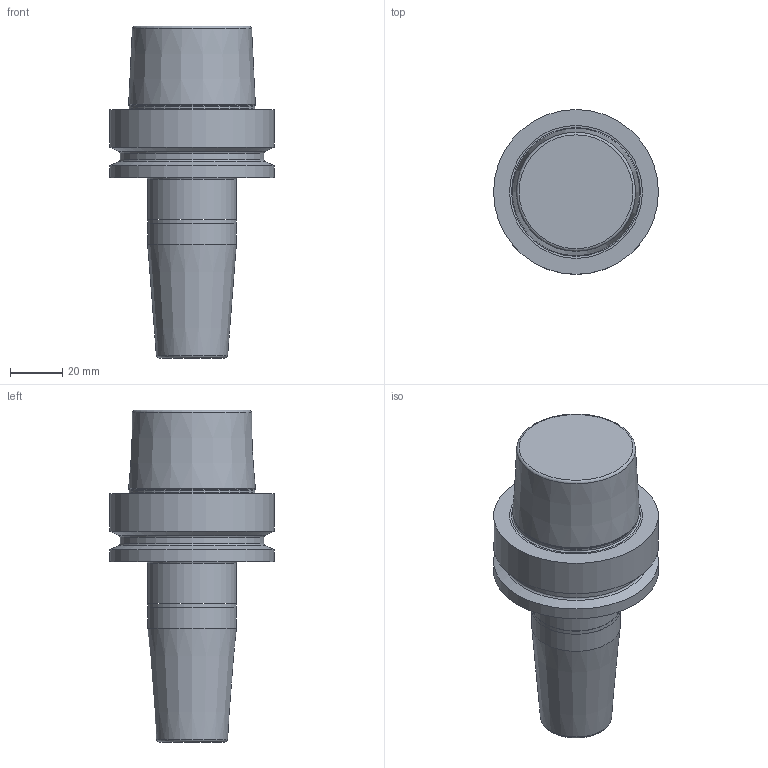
import cadquery as cq
import math


taper_height = 32.0
gauge_radius = 24.005
gauge_height = 6.3
taper_ratio = 9.98
taper_slope = 1 / (2 * taper_ratio)
taper_angle = math.atan(taper_slope)
top_round = 1.0

taper_end_height = 2.0
relief_radius = 24.0
relief_cone_drop = 0.2
relief_cone_radius = 24.1
relief_top = 1.3
relief_corner = 0.6
dish_radius = 25.4
dish_depth = 0.1

flange_radius = 31.5
flange_thickness = 26.0
groove_floor_radius = 27.5
groove_centre = -17.86
groove_half_width = 3.6
groove_wall_angle = math.radians(25)
groove_corner = 0.9

shank_radius = 17.0
shank_corner = 0.5
shank_end = -41.9
joint_gap = 0.1

nose_collar_end = -43.5
nose_step = 0.05
nose_radius = shank_radius - nose_step
nose_cone_start = -51.5
nose_bottom = -94.9
nose_angle = math.radians(4.5)
nose_round = 1.0

arc_inset = 1 - math.sqrt(0.5)


def taper_radius(height):
    return gauge_radius - (height - gauge_height) * taper_slope


def revolve_about_z(outline):
    return outline.close().revolve(360, (0, 0, 0), (0, 1, 0))


def end_round_points(end_radius, lean, corner, end_height, side):
    """Cone tangent, midpoint and flat tangent of the round where a cone leaning inwards meets a flat end.

    end_radius is the cone's radius at the end plane and lean its half angle;
    side is +1 for a top end and -1 for a bottom end.
    """
    centre_r = end_radius - corner * (1 - math.sin(lean)) / math.cos(lean)
    centre_z = end_height - side * corner

    def on_round(angle):
        return (centre_r + corner * math.cos(angle), centre_z + side * corner * math.sin(angle))

    return on_round(lean), on_round((lean + math.pi / 2) / 2), on_round(math.pi / 2)


def groove_points(side):
    """Rim, wall tangent, arc midpoint and floor tangent of one groove wall; side is +1 above, -1 below."""
    wall_drop = (flange_radius - groove_floor_radius) * math.tan(groove_wall_angle)
    corner_z = groove_half_width - wall_drop
    sweep = math.pi / 2 - groove_wall_angle
    centre_r = groove_floor_radius + groove_corner
    centre_z = corner_z - groove_corner * math.tan(sweep / 2)

    def on_corner(angle):
        r = centre_r - groove_corner * math.cos(angle)
        return (r, groove_centre + side * (centre_z + groove_corner * math.sin(angle)))

    rim = (flange_radius, groove_centre + side * groove_half_width)
    return rim, on_corner(sweep), on_corner(sweep / 2), on_corner(0)


def make_holder():
    top_side, top_mid, top_flat = end_round_points(
        taper_radius(taper_height), taper_angle, top_round, taper_height, 1
    )
    upper_rim, upper_wall, upper_mid, upper_floor = groove_points(1)
    lower_rim, lower_wall, lower_mid, lower_floor = groove_points(-1)
    relief_cone_end = taper_end_height - relief_cone_drop

    outline = (
        cq.Workplane("XZ")
        .moveTo(0, shank_end)
        .lineTo(0, taper_height)
        .lineTo(*top_flat)
        .threePointArc(top_mid, top_side)
        .lineTo(taper_radius(taper_end_height), taper_end_height)
        .lineTo(relief_cone_radius, relief_cone_end)
        .lineTo(relief_radius, relief_top)
        .lineTo(relief_radius, relief_corner - dish_depth)
        .threePointArc(
            (relief_radius + arc_inset * relief_corner, arc_inset * relief_corner - dish_depth),
            (relief_radius + relief_corner, -dish_depth),
        )
        .lineTo(dish_radius, 0)
        .lineTo(flange_radius, 0)
        .lineTo(*upper_rim)
        .lineTo(*upper_wall)
        .threePointArc(upper_mid, upper_floor)
        .lineTo(*lower_floor)
        .threePointArc(lower_mid, lower_wall)
        .lineTo(*lower_rim)
        .lineTo(flange_radius, -flange_thickness)
        .lineTo(shank_radius + shank_corner, -flange_thickness)
        .threePointArc(
            (shank_radius + arc_inset * shank_corner, -flange_thickness - arc_inset * shank_corner),
            (shank_radius, -flange_thickness - shank_corner),
        )
        .lineTo(shank_radius, shank_end)
    )
    return revolve_about_z(outline)


def make_nose():
    end_radius = nose_radius - (nose_cone_start - nose_bottom) * math.tan(nose_angle)
    end_side, end_mid, end_flat = end_round_points(end_radius, nose_angle, nose_round, nose_bottom, -1)
    nose_top = shank_end - joint_gap
    outline = (
        cq.Workplane("XZ")
        .moveTo(0, nose_top)
        .lineTo(shank_radius, nose_top)
        .lineTo(shank_radius, nose_collar_end)
        .lineTo(nose_radius, nose_collar_end)
        .lineTo(nose_radius, nose_cone_start)
        .lineTo(*end_side)
        .threePointArc(end_mid, end_flat)
        .lineTo(0, nose_bottom)
    )
    return revolve_about_z(outline)


holder = make_holder()
nose = make_nose()
result = cq.Compound.makeCompound([holder.val(), nose.val()])